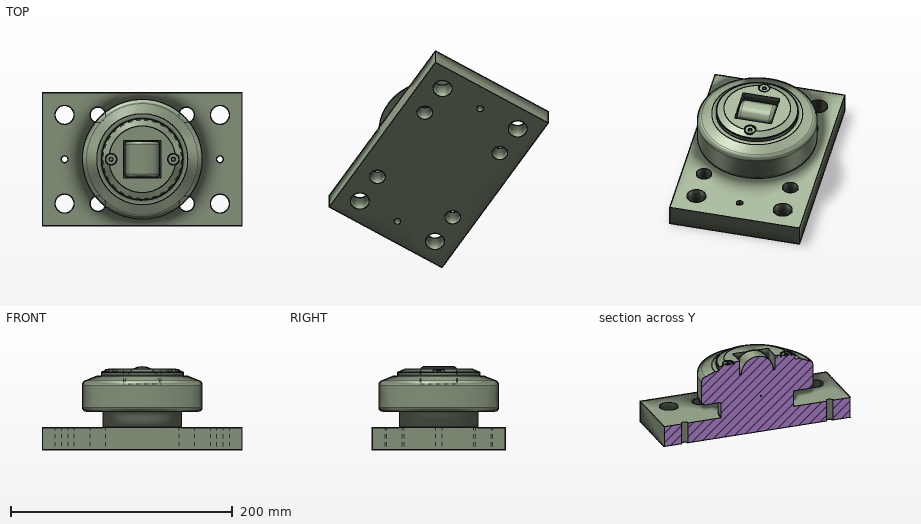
import cadquery as cq

plate_length = 180
plate_width = 120.0
plate_thickness = 20.0

mount_hole_diameter = 17.0
mount_hole_x = 70.0
hole_row_y = 40.0
inner_hole_diameter = 13.9
inner_hole_x = hole_row_y
pin_hole_diameter = 6.0

column_diameter = 71.0
foot_diameter = 70.5
foot_height = 0.5

ring_radius = 54
ring_bottom = 34.7
ring_top = 66.5
ring_bottom_fillet = 3.6
ring_shoulder_bottom = 58.1
ring_shoulder_radius = 50.2
ring_shoulder_top = 62.6
shoulder_bulge = 0.7
ring_face_radius = 41.0

cap_radius = 74.0 / 2
cap_edge_height = 69.7
cap_edge_inset = 0.5
cap_face_radius = 30.0
cap_top = 72.9

overall_height = 74.9
roller_radius = 15.7
roller_length = 32.4
roller_end_fillet = 2.9
roller_axis_z = overall_height - roller_radius
pocket_size = 34.0
pocket_corner_radius = 1.0
pocket_floor = roller_axis_z

screw_offset = 28.0
screw_recess_diameter = 10.5
screw_recess_depth = 2.2
screw_head_diameter = 9.7
screw_head_height = 1.5
screw_socket_diameter = 3.6
screw_socket_depth = 1.0


def cylinder(diameter, bottom, height, x=0):
    """Vertical cylinder standing on the given height."""
    return cq.Workplane("XY", origin=(x, 0, bottom)).circle(diameter / 2).extrude(height)


def make_plate():
    plate = cq.Workplane("XY").box(
        plate_length, plate_width, plate_thickness, centered=(True, True, False)
    )
    top = plate.faces(">Z").workplane(origin=(0, 0, plate_thickness))
    plate = top.rarray(2 * mount_hole_x, 2 * hole_row_y, 2, 2).hole(mount_hole_diameter)
    top = plate.faces(">Z").workplane(origin=(0, 0, plate_thickness))
    plate = top.rarray(2 * inner_hole_x, 2 * hole_row_y, 2, 2).hole(inner_hole_diameter)
    top = plate.faces(">Z").workplane(origin=(0, 0, plate_thickness))
    return top.rarray(2 * mount_hole_x, 1.8, 2, 1).hole(pin_hole_diameter)


def make_bearing():
    """Foot, column, rounded ring and bevelled cap as one turned body."""
    column_radius = column_diameter / 2
    foot_radius = foot_diameter / 2
    foot_top = plate_thickness + foot_height
    shoulder_middle = (
        (ring_radius + ring_shoulder_radius) / 2 + shoulder_bulge,
        (ring_shoulder_bottom + ring_shoulder_top) / 2 + shoulder_bulge,
    )
    return (
        cq.Workplane("XZ")
        .moveTo(0, plate_thickness)
        .lineTo(foot_radius, plate_thickness)
        .lineTo(foot_radius, foot_top)
        .lineTo(column_radius, foot_top)
        .lineTo(column_radius, ring_bottom)
        .lineTo(ring_radius - ring_bottom_fillet, ring_bottom)
        .radiusArc((ring_radius, ring_bottom + ring_bottom_fillet), -ring_bottom_fillet)
        .lineTo(ring_radius, ring_shoulder_bottom)
        .threePointArc(shoulder_middle, (ring_shoulder_radius, ring_shoulder_top))
        .lineTo(ring_face_radius, ring_top)
        .lineTo(cap_radius, ring_top)
        .lineTo(cap_radius, cap_edge_height)
        .lineTo(cap_radius - cap_edge_inset, cap_edge_height + cap_edge_inset)
        .lineTo(cap_face_radius, cap_top)
        .lineTo(0, cap_top)
        .close()
        .revolve(360, (0, 0), (0, 1))
    )


def make_roller_pocket():
    return (
        cq.Workplane("XY", origin=(0, 0, pocket_floor))
        .rect(pocket_size, pocket_size)
        .extrude(cap_top - pocket_floor)
        .edges("|Z")
        .fillet(pocket_corner_radius)
    )


def make_roller():
    """Roller lying along Y with rounded ends, turned so its seam stays below the surface."""
    return (
        cq.Workplane("XZ", origin=(0, 0, roller_axis_z))
        .circle(roller_radius)
        .extrude(roller_length / 2, both=True)
        .edges("%CIRCLE")
        .fillet(roller_end_fillet)
        .rotate((0, 0, roller_axis_z), (0, 1, roller_axis_z), 90)
    )


def add_cap_screw(body, x):
    """Sink a socket-head screw into a recess in the cap."""
    recess_floor = cap_top - screw_recess_depth
    head_top = recess_floor + screw_head_height
    recess = cylinder(screw_recess_diameter, recess_floor, screw_recess_depth, x)
    head = cylinder(screw_head_diameter, recess_floor, screw_head_height, x)
    socket = cylinder(screw_socket_diameter, head_top - screw_socket_depth, screw_socket_depth, x)
    return body.cut(recess).union(head.cut(socket))


body = make_plate().union(make_bearing())
body = body.cut(make_roller_pocket()).union(make_roller())
for side in (-1, 1):
    body = add_cap_screw(body, side * screw_offset)

result = body